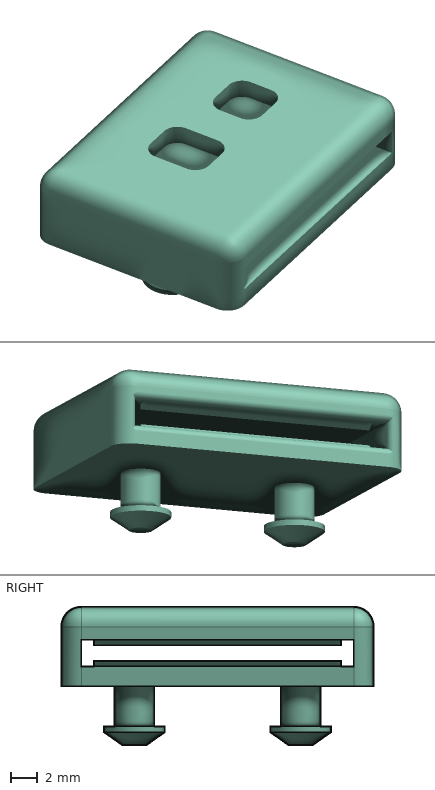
import cadquery as cq
import math

body_width = 18.0
body_length = 23.5
body_height = 6.0
body_radius = 1.5

slot_bottom = 1.5
slot_height = 2.0
slot_length = body_length - 2 * body_radius
slot_mouth_radius = 0.5

barb_length = 18.61
barb_height = 0.42
barb_edge_gap = 0.19
ramp_run = 0.73
ramp_rise = 0.25
lip_run = 0.2

pockets = [(-0.59, 4.8, 4.18, 4.23), (-1.0, -2.75, 5.2, 4.25)]
pocket_radius = 1.2
pocket_depth = 1.5

pin_diameter = 3.0
pin_offset = 6.25
shank_length = 3.0
head_diameter = 4.6
rim_thickness = 0.42
cone_height = 0.99
tip_diameter = 1.8


def make_body():
    block = cq.Workplane("XY").box(body_width, body_length, body_height, centered=(True, True, False))
    return block.edges("|Z or >Z").fillet(body_radius)


def make_slot():
    """Straight slot, flared at its -X mouth by a quarter-round bead on every wall."""
    r = slot_mouth_radius
    mouth_x = -body_width / 2
    bead_x = mouth_x + r
    slot = cq.Workplane("XY").box(body_width, slot_length, slot_height)
    flare = cq.Workplane("XY").box(r, slot_length + 2 * r, slot_height + 2 * r)
    flare = flare.translate((mouth_x + r / 2, 0, 0))
    for side in (-1, 1):
        long_bead = (
            cq.Workplane("XZ", origin=(bead_x, 0, side * (slot_height / 2 + r)))
            .circle(r)
            .extrude(slot_length / 2 + r, both=True)
        )
        end_bead = (
            cq.Workplane("XY", origin=(bead_x, side * (slot_length / 2 + r), 0))
            .circle(r)
            .extrude(slot_height / 2 + r, both=True)
        )
        flare = flare.cut(long_bead).cut(end_bead)
    return slot.union(flare).translate((0, 0, slot_bottom + slot_height / 2))


def make_floor_barb():
    """Ridge near the -X mouth: a concave ramp, a sloping lip and an upright back."""
    foot_x = -body_width / 2 + slot_mouth_radius + barb_edge_gap
    ramp_x = foot_x + ramp_run
    crest_x = ramp_x + lip_run
    ramp_radius = (ramp_run**2 + ramp_rise**2) / (2 * ramp_rise)
    half_angle = math.asin(ramp_run / ramp_radius) / 2
    mid_x = foot_x + ramp_radius * math.sin(half_angle)
    mid_z = ramp_radius * (1 - math.cos(half_angle))
    root = -slot_bottom / 2
    return (
        cq.Workplane("XZ", origin=(0, 0, slot_bottom))
        .moveTo(foot_x, root)
        .lineTo(foot_x, 0)
        .threePointArc((mid_x, mid_z), (ramp_x, ramp_rise))
        .lineTo(crest_x, barb_height)
        .lineTo(crest_x, root)
        .close()
        .extrude(barb_length / 2, both=True)
    )


def make_pocket(x, y, width, length):
    return (
        cq.Workplane("XY", origin=(x, y, body_height - pocket_depth))
        .rect(width, length)
        .extrude(pocket_depth)
        .edges("|Z")
        .fillet(pocket_radius)
    )


def make_pin(y):
    rim_bottom = -shank_length - rim_thickness
    return (
        cq.Workplane("XZ")
        .polyline([
            (0, 0),
            (pin_diameter / 2, 0),
            (pin_diameter / 2, -shank_length),
            (head_diameter / 2, -shank_length),
            (head_diameter / 2, rim_bottom),
            (tip_diameter / 2, rim_bottom - cone_height),
            (0, rim_bottom - cone_height),
        ])
        .close()
        .revolve(360, (0, 0), (0, 1))
        .translate((0, y, 0))
    )


floor_barb = make_floor_barb()
slot_middle = slot_bottom + slot_height / 2
ceiling_barb = floor_barb.mirror("XY", (0, 0, slot_middle))

result = make_body().cut(make_slot()).union(floor_barb).union(ceiling_barb)
for pocket in pockets:
    result = result.cut(make_pocket(*pocket))
for pin_y in (-pin_offset, pin_offset):
    result = result.union(make_pin(pin_y))